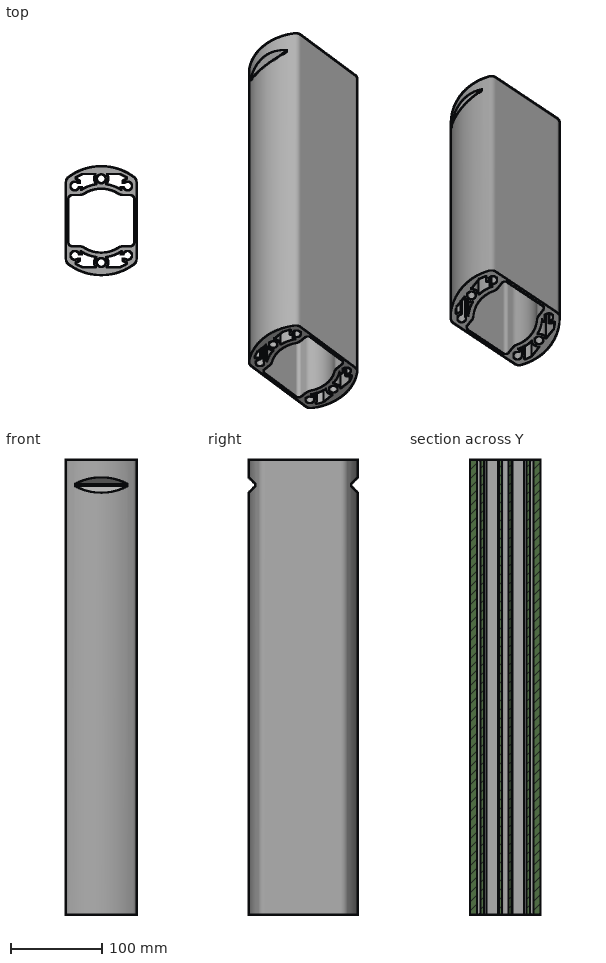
import cadquery as cq
import math

length = 500.0
width = 78.0
outer_radius = 60.0
corner_radius = 8.0

side_wall = 3.0
cavity_half_depth = 28.0
cavity_corner_radius = 4.0
cavity_bulge_radius = 35.0
cavity_blend_radius = 10.0

chamber_inner_radius = 40.5
chamber_outer_radius = 55.0
chamber_ceiling = 51.0
chamber_half_width = 27.8

port_wall_radius = 7.9
middle_port_diameter = 9.5
middle_port_y = 46.0
corner_port_diameter = 9.4
corner_port_x = 29.0
corner_port_y = 38.1
port_mouth_bottom = 37.0
port_mouth_top = 41.5
port_lip_end_x = 23.3
chamber_floor = corner_port_y - corner_port_diameter / 2

notch_drop = 28.0
notch_depth = 7.25
notch_bottom_height = 2.5
notch_z = length - notch_drop

edge_tolerance = 0.01


def cylinder(radius, x=0.0, y=0.0):
    """Full-length round bar."""
    return cq.Workplane("XY").center(x, y).circle(radius).extrude(length)


def block(x_min, x_max, y_min, y_max):
    """Full-length rectangular bar."""
    middle = ((x_min + x_max) / 2, (y_min + y_max) / 2)
    return cq.Workplane("XY").center(*middle).rect(x_max - x_min, y_max - y_min).extrude(length)


def round_corners(solid, corner_x, corner_y, radius):
    """Fillet the four upright edges at (+-corner_x, +-corner_y)."""
    corners = [(x, y, length / 2) for x in (-corner_x, corner_x) for y in (-corner_y, corner_y)]
    corner_edges = [
        edge
        for edge in solid.edges("|Z").vals()
        if any((edge.Center() - cq.Vector(*corner)).Length < edge_tolerance for corner in corners)
    ]
    return solid.newObject(corner_edges).fillet(radius)


def outer_body():
    """Solid bar with the outer section."""
    half_width = width / 2
    slab = block(-half_width, half_width, -outer_radius, outer_radius)
    corner_y = math.sqrt(outer_radius**2 - half_width**2)
    body = cylinder(outer_radius).intersect(slab)
    return round_corners(body, half_width, corner_y, corner_radius)


def cavity():
    """Open space of the central cavity."""
    half_width = width / 2 - side_wall
    box = block(-half_width, half_width, -cavity_half_depth, cavity_half_depth)
    box = box.edges("|Z").fillet(cavity_corner_radius)
    bulge = cylinder(cavity_bulge_radius).intersect(
        block(-half_width, half_width, -outer_radius, outer_radius)
    )
    blend_x = math.sqrt(cavity_bulge_radius**2 - cavity_half_depth**2)
    return round_corners(box.union(bulge), blend_x, cavity_half_depth, cavity_blend_radius)


def end_chamber():
    """Open space of the chamber at the +Y end, including its screw ports."""
    space = block(-chamber_half_width, chamber_half_width, chamber_floor, chamber_ceiling)
    space = space.intersect(cylinder(chamber_outer_radius)).cut(cylinder(chamber_inner_radius))
    space = space.cut(cylinder(port_wall_radius, 0, middle_port_y))
    for side in (-1, 1):
        space = space.cut(cylinder(port_wall_radius, side * corner_port_x, corner_port_y))

    space = space.union(cylinder(middle_port_diameter / 2, 0, middle_port_y))
    for side in (-1, 1):
        space = space.union(cylinder(corner_port_diameter / 2, side * corner_port_x, corner_port_y))

    mouth_start = corner_port_x - port_wall_radius
    lip_top = corner_port_y + port_wall_radius
    mouth = block(mouth_start, corner_port_x, port_mouth_bottom, port_mouth_top)
    mouth = mouth.union(block(mouth_start, port_lip_end_x, port_mouth_bottom, lip_top))
    space = space.union(mouth).union(mouth.mirror("YZ"))
    return space


def notch():
    """Wedge that cuts the notch at the +Y end."""
    bottom_y = outer_radius - notch_depth
    bottom_half = notch_bottom_height / 2
    mouth_half = bottom_half + notch_depth
    return (
        cq.Workplane("YZ")
        .moveTo(bottom_y, notch_z - bottom_half)
        .lineTo(outer_radius, notch_z - mouth_half)
        .lineTo(outer_radius, notch_z + mouth_half)
        .lineTo(bottom_y, notch_z + bottom_half)
        .close()
        .extrude(width / 2, both=True)
    )


result = outer_body().cut(cavity())
for cutter in (end_chamber(), notch()):
    result = result.cut(cutter).cut(cutter.mirror("XZ"))